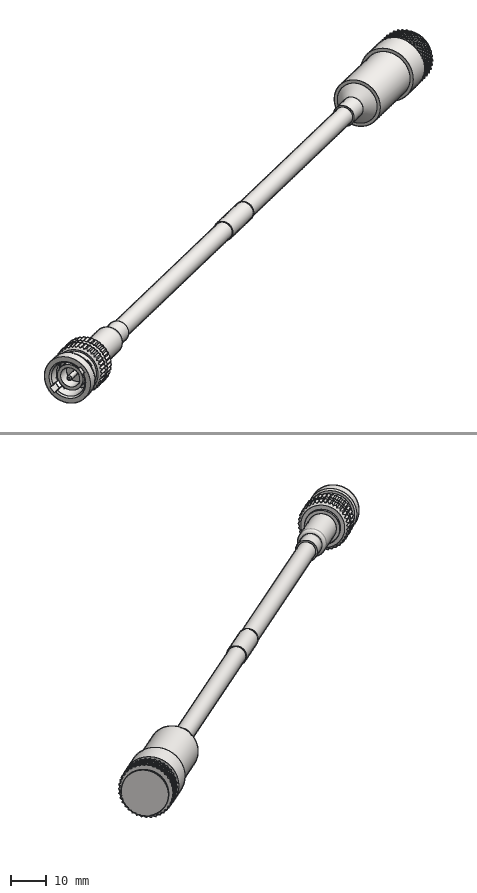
import cadquery as cq
import math


END = 121.2

CABLE_R = 2.7
LABEL_R = 3.0
LABEL_Y0, LABEL_Y1 = -10.7, 4.0

FERRULE_R = 3.2
REAR_FERRULE_Y0 = 74.7
PLUG_FERRULE_Y1 = -85.0

REAR_CONE_Y0 = 81.0
REAR_CONE_Y1 = 84.0
REAR_CONE_R = 6.0
REAR_BODY_R = 7.0
REAR_BODY_END = 105.2

NUT_R = 8.0
NUT_GROOVE_Y0 = 113.2
NUT_KNURL_Y0, NUT_KNURL_Y1 = 114.5, 119.3
NUT_RIM_Y = 120.5
NUT_GROOVE_R = 7.0
NUT_RIM_R = 6.8
NUT_NECK_R = 6.3

KNURL_TEETH = 36
KNURL_DEPTH = 0.5
KNURL_TWIST = 30.0

PLUG_BACK_Y = -91.0
PLUG_BODY_R = 4.0
PLUG_BACK_FILLET = 1.2
PLUG_RING_Y0 = -105.0
PLUG_RING_R = 5.0
PLUG_TUBE_R = 3.9
PLUG_TUBE_BORE_R = 3.0
PLUG_TUBE_END = -119.3
INSULATOR_END = -115.1

COLLAR_Y0 = -106.0
COLLAR_Y1 = -114.2
COLLAR_R = 7.3
COLLAR_CHAMFER = 1.0
BAND_Y = -110.0
BAND_WIDTH = 1.5
BAND_R = 7.0
BAYONET_NECK_R = 5.8
FLANGE_Y = -117.5
FLANGE_R = 7.0
FLANGE_CHAMFER = 0.5
SHELL_BORE_R = 5.0
MOUTH_CHAMFER = 0.5

SLOT_COUNT = 2
SLOT_WIDTH = 2.0
SLOT_STRAIGHT = 2.0
RAMP_WIDTH = 3.9
SLOT_ENTRY_ANGLE = 40.0
SLOT_TWIST = 95.0
CHANNEL_R = 6.0

PIN_R = 0.7
PIN_Y0, PIN_END = -112.7, -120.2
PIN_TIP_CHAMFER = 0.36


def rod(radius, y0, y1):
    """Cylinder on the Y axis between two stations."""
    low = min(y0, y1)
    return cq.Workplane("XZ", origin=(0, low, 0)).circle(radius).extrude(-abs(y1 - y0))


def tube(outer, inner, y0, y1):
    """Hollow cylinder on the Y axis."""
    return rod(outer, y0, y1).cut(rod(inner, y0, y1))


def turned(points):
    """Solid of revolution about Y from (radius, y) points."""
    return cq.Workplane("XY").polyline(points).close().revolve(360, (0, 0, 0), (0, 1, 0))


def knurl_outline(plane, radius):
    """V-toothed outline whose tips lie on the given radius."""
    points = []
    for i in range(2 * KNURL_TEETH):
        reach = radius if i % 2 == 0 else radius - KNURL_DEPTH
        angle = math.pi * i / KNURL_TEETH
        points.append((reach * math.cos(angle), reach * math.sin(angle)))
    return plane.polyline(points).close()


def straight_knurl(radius, y0, y1):
    plane = cq.Workplane("XZ", origin=(0, min(y0, y1), 0))
    return knurl_outline(plane, radius).extrude(-abs(y1 - y0))


def diamond_knurl(radius, y0, y1):
    """Overlap of a left-hand and a right-hand twisted toothed bar."""
    plane = cq.Workplane("XZ", origin=(0, y1, 0))
    left = knurl_outline(plane, radius).twistExtrude(y1 - y0, KNURL_TWIST)
    right = knurl_outline(plane, radius).twistExtrude(y1 - y0, -KNURL_TWIST)
    return left.intersect(right)


def make_cable():
    return rod(CABLE_R, PLUG_BACK_Y, REAR_CONE_Y0)


def make_label():
    return tube(LABEL_R, CABLE_R, LABEL_Y0, LABEL_Y1)


def make_ferrule(y0, y1):
    return tube(FERRULE_R, CABLE_R, y0, y1)


def make_rear_body():
    return turned([
        (0, REAR_CONE_Y0), (FERRULE_R, REAR_CONE_Y0), (REAR_CONE_R, REAR_CONE_Y1),
        (REAR_BODY_R, REAR_CONE_Y1), (REAR_BODY_R, REAR_BODY_END), (0, REAR_BODY_END),
    ])


def make_rear_nut():
    nut = rod(NUT_R, REAR_BODY_END, NUT_GROOVE_Y0)
    nut = nut.union(rod(NUT_GROOVE_R, NUT_GROOVE_Y0, NUT_KNURL_Y0))
    nut = nut.union(diamond_knurl(NUT_R, NUT_KNURL_Y0, NUT_KNURL_Y1))
    nut = nut.union(rod(NUT_NECK_R, NUT_KNURL_Y1, NUT_RIM_Y))
    return nut.union(rod(NUT_RIM_R, NUT_RIM_Y, END))


def make_plug_body():
    back = rod(PLUG_BODY_R, PLUG_BACK_Y, PLUG_RING_Y0).faces(">Y").edges().fillet(PLUG_BACK_FILLET)
    ring = rod(PLUG_RING_R, PLUG_RING_Y0, COLLAR_Y0)
    core = rod(PLUG_TUBE_R, COLLAR_Y0, PLUG_TUBE_END)
    core = core.cut(rod(PLUG_TUBE_BORE_R, INSULATOR_END, PLUG_TUBE_END))
    body = back.union(ring).union(core)
    return body.cut(rod(PIN_R, PIN_Y0, PIN_END))


def make_pin():
    return rod(PIN_R, PIN_Y0, PIN_END).faces("<Y").edges().chamfer(PIN_TIP_CHAMFER)


def collar():
    """Knurled grip with chamfered ends and a plain band round its middle."""
    edge_r = COLLAR_R - COLLAR_CHAMFER
    envelope = turned([
        (0, COLLAR_Y0), (edge_r, COLLAR_Y0), (COLLAR_R, COLLAR_Y0 - COLLAR_CHAMFER),
        (COLLAR_R, COLLAR_Y1 + COLLAR_CHAMFER), (edge_r, COLLAR_Y1), (0, COLLAR_Y1),
    ])
    grip = straight_knurl(COLLAR_R, COLLAR_Y0, COLLAR_Y1).intersect(envelope)
    band_y0 = BAND_Y - BAND_WIDTH / 2
    band_y1 = BAND_Y + BAND_WIDTH / 2
    teeth_in_band = tube(COLLAR_R, COLLAR_R - 2 * KNURL_DEPTH, band_y0, band_y1)
    return grip.cut(teeth_in_band).union(rod(BAND_R, band_y0, band_y1))


def slot_section(y, angle, width, reach):
    """Radial rectangle across the shell wall, in a plane that faces -Y."""
    return (
        cq.Workplane("XZ", origin=(0, y, 0))
        .transformed(rotate=(0, 0, angle))
        .moveTo(PLUG_TUBE_R, -width / 2)
        .lineTo(reach, -width / 2)
        .lineTo(reach, width / 2)
        .lineTo(PLUG_TUBE_R, width / 2)
        .close()
    )


def bayonet_slot(angle):
    """Entry channel hidden in the flange but open in the neck, then a ramp round the neck."""
    channel = slot_section(FLANGE_Y + SLOT_STRAIGHT, angle, SLOT_WIDTH, CHANNEL_R)
    channel = channel.extrude(FLANGE_Y + SLOT_STRAIGHT + END)
    ramp = slot_section(COLLAR_Y1, angle - SLOT_TWIST, RAMP_WIDTH, CHANNEL_R)
    ramp = ramp.twistExtrude(COLLAR_Y1 - FLANGE_Y, SLOT_TWIST)
    return channel, ramp


def make_coupling():
    shell = collar()
    shell = shell.union(rod(BAYONET_NECK_R, COLLAR_Y1, FLANGE_Y))
    shell = shell.union(rod(FLANGE_R, FLANGE_Y, -END).faces(">Y").edges().chamfer(FLANGE_CHAMFER))
    shell = shell.cut(rod(PLUG_TUBE_R, COLLAR_Y0, COLLAR_Y1)).cut(rod(SHELL_BORE_R, COLLAR_Y1, -END))
    mouth = turned([
        (0, -END), (SHELL_BORE_R + MOUTH_CHAMFER, -END),
        (SHELL_BORE_R, -END + MOUTH_CHAMFER), (0, -END + MOUTH_CHAMFER),
    ])
    shell = shell.cut(mouth)
    for i in range(SLOT_COUNT):
        for cutter in bayonet_slot(SLOT_ENTRY_ANGLE + 360 * i / SLOT_COUNT):
            shell = shell.cut(cutter)
    return shell


cable = make_cable()
label = make_label()
ferrules = [
    make_ferrule(y0, y1)
    for y0, y1 in [(REAR_FERRULE_Y0, REAR_CONE_Y0), (PLUG_BACK_Y, PLUG_FERRULE_Y1)]
]
rear_body = make_rear_body()
rear_nut = make_rear_nut()
plug_body = make_plug_body()
pin = make_pin()
coupling = make_coupling()

bodies = [cable, label, *ferrules, rear_body, rear_nut, plug_body, pin, coupling]
result = cq.Compound.makeCompound([body.solids().val() for body in bodies])